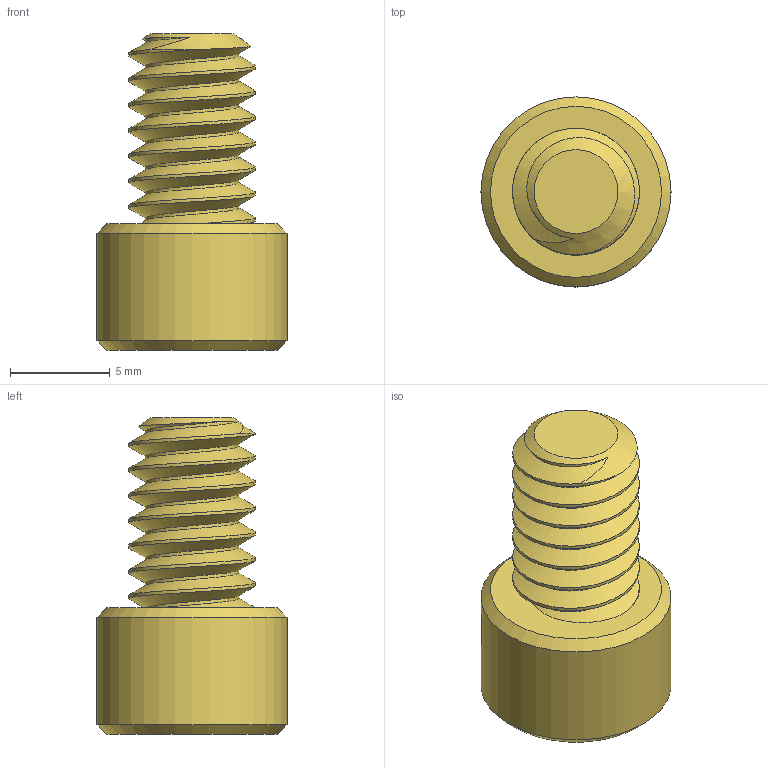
import cadquery as cq
import math

INCH = 25.4
head_diameter = 3 / 8 * INCH
head_height = 1 / 4 * INCH
head_chamfer = 0.05 * head_diameter
thread_diameter = 1 / 4 * INCH
pitch = INCH / 20
shank_length = 3 / 8 * INCH

head_radius = head_diameter / 2
thread_radius = thread_diameter / 2
shank_top = head_height + shank_length

flank_slope = math.tan(math.radians(30))
crest_flat = pitch / 8
root_flat = pitch / 8
thread_depth = (pitch - crest_flat - root_flat) / (2 * flank_slope)
root_radius = thread_radius - thread_depth
crest_height_above_head = 0.22

point_radius = 2.1
point_length = 0.8

envelope_clearance = 0.5
turns_beyond_end = 2
ridge_sink = 0.05


def make_head():
    blank = cq.Workplane("XY").circle(head_radius).extrude(head_height)
    return blank.faces("<Z or >Z").chamfer(head_chamfer)


def make_shank_envelope():
    """Space the threaded shank may fill: a plain shank with a conical point."""
    envelope_radius = thread_radius + envelope_clearance
    cone_slope = point_length / (thread_radius - point_radius)
    cone_base = shank_top - (envelope_radius - point_radius) * cone_slope
    return (
        cq.Workplane("XZ")
        .moveTo(0, head_height)
        .lineTo(envelope_radius, head_height)
        .lineTo(envelope_radius, cone_base)
        .lineTo(point_radius, shank_top)
        .lineTo(0, shank_top)
        .close()
        .revolve(360, (0, 0, 0), (0, 1, 0))
    )


def make_thread_ridge():
    """Right-handed ridge that runs past both ends of the shank."""
    start_height = head_height + crest_height_above_head - turns_beyond_end * pitch
    turns = math.ceil(shank_length / pitch) + 2 * turns_beyond_end
    foot_radius = root_radius - ridge_sink
    half_crest = crest_flat / 2
    half_foot = half_crest + (thread_radius - foot_radius) * flank_slope
    helix = cq.Wire.makeHelix(pitch, turns * pitch, root_radius)
    ridge = (
        cq.Workplane("XZ")
        .moveTo(foot_radius, -half_foot)
        .lineTo(thread_radius, -half_crest)
        .lineTo(thread_radius, half_crest)
        .lineTo(foot_radius, half_foot)
        .close()
        .sweep(cq.Workplane(obj=helix), isFrenet=True)
    )
    return ridge.translate((0, 0, start_height))


def make_threaded_shank():
    envelope = make_shank_envelope()
    core = cq.Workplane("XY").workplane(offset=head_height).circle(root_radius).extrude(shank_length)
    ridge = make_thread_ridge().intersect(envelope)
    return core.intersect(envelope).union(ridge)


result = make_head().union(make_threaded_shank())